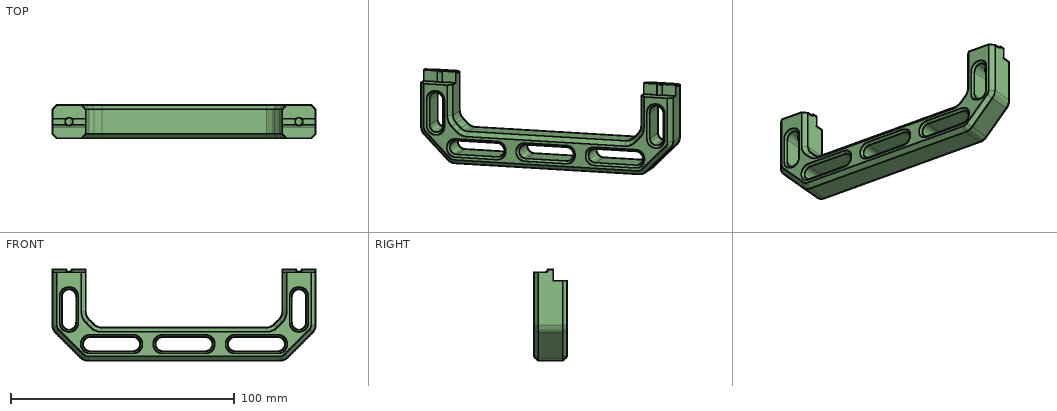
import cadquery as cq
import math

length = 118.0
depth = 15.0
height = 41.0
limb = 15.0

outer_corner = 14.0
inner_corner = 5.1
corner_radius = 5.0
edge_chamfer = 2.0

ridge_width = 2.6
rear_step = 5.0
front_step = 1.2
hole_diameter = 3.5

slot_width = 6.3
slot_chamfer = 1.1
bar_slot_length = 25.5
bar_slot_pitch = 32.5
leg_slot_length = 18.0
leg_slot_center_z = 23.0

half_length = length / 2
half_depth = depth / 2
inner_x = half_length - limb
leg_center_x = half_length - limb / 2


def make_frame():
    """U-shaped handle with rounded 45 degree corners and chamfered front and rear edges."""
    right_side = [
        (half_length - outer_corner, 0),
        (half_length, outer_corner),
        (half_length, height),
        (inner_x, height),
        (inner_x, limb + inner_corner),
        (inner_x - inner_corner, limb),
    ]
    left_side = [(-x, z) for x, z in reversed(right_side)]
    frame = (
        cq.Workplane("XZ", origin=(0, half_depth, 0))
        .polyline(right_side + left_side)
        .close()
        .extrude(depth)
    )
    below_top = cq.selectors.BoxSelector(
        (-length, -depth, -height), (length, depth, height - edge_chamfer)
    )
    frame = frame.edges("|Y").edges(below_top).fillet(corner_radius)
    rim = frame.faces("<Y or >Y").edges().edges(below_top)
    return rim.chamfer(edge_chamfer)


def leg_top_cuts():
    """Material removed behind and in front of the ridge that crosses both leg tops."""
    ridge_edge = ridge_width / 2
    rear_shelf = height - rear_step
    front_shelf = height - front_step
    cove_offset = front_step * (1 - math.cos(math.pi / 4))
    rear = (
        cq.Workplane("YZ", origin=(-half_length, 0, 0))
        .moveTo(ridge_edge, rear_shelf)
        .lineTo(half_depth, rear_shelf)
        .lineTo(half_depth, height)
        .lineTo(ridge_edge, height)
        .close()
        .extrude(length)
    )
    front = (
        cq.Workplane("YZ", origin=(-half_length, 0, 0))
        .moveTo(-ridge_edge, height)
        .threePointArc(
            (-ridge_edge - cove_offset, front_shelf + cove_offset),
            (-ridge_edge - front_step, front_shelf),
        )
        .lineTo(-half_depth, front_shelf)
        .lineTo(-half_depth, height)
        .close()
        .extrude(length)
    )
    return rear.union(front)


def slot_cutter(x, z, slot_length, angle):
    """Rounded slot through the depth, widened by a chamfer at both mouths."""
    mouth_length = slot_length + 2 * slot_chamfer
    mouth_width = slot_width + 2 * slot_chamfer
    cutter = (
        cq.Workplane("XZ", origin=(x, half_depth, z))
        .slot2D(slot_length, slot_width, angle)
        .extrude(depth)
    )
    for side in (-1, 1):
        mouth = (
            cq.Workplane("XZ", origin=(x, side * half_depth, z))
            .slot2D(mouth_length, mouth_width, angle)
            .extrude(side * slot_chamfer, taper=45)
        )
        cutter = cutter.union(mouth)
    return cutter


def leg_hole(x):
    """Vertical hole from the leg top into the leg slot."""
    return (
        cq.Workplane("XY", origin=(x, 0, leg_slot_center_z))
        .circle(hole_diameter / 2)
        .extrude(height - leg_slot_center_z)
    )


result = make_frame().cut(leg_top_cuts())

for x in (-bar_slot_pitch, 0, bar_slot_pitch):
    result = result.cut(slot_cutter(x, limb / 2, bar_slot_length, 0))

for x in (-leg_center_x, leg_center_x):
    result = result.cut(slot_cutter(x, leg_slot_center_z, leg_slot_length, 90))
    result = result.cut(leg_hole(x))